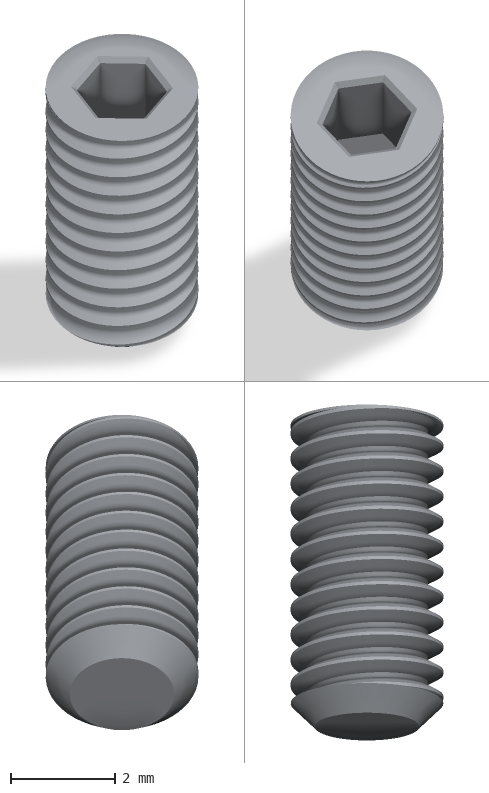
import cadquery as cq
import math

length = 6.0
outer_radius = 1.465
tip_height = 0.46
top_rim_height = 0.05

pitch = length / 12
root_radius = 1.17
crest_width = pitch / 8
flank_slope = math.tan(math.radians(30))
crest_offset = 0.035
overcut = 0.02

socket_flats = 1.5
socket_depth = 2.0
socket_chamfer = 0.095


def make_blank():
    """Cylinder with a conical tip, resting on Z = 0."""
    blank = cq.Workplane("XY").circle(outer_radius).extrude(length)
    return blank.faces("<Z").chamfer(tip_height)


def make_groove():
    """Helical V groove, trimmed to the threaded part of the shank."""
    cutter_radius = outer_radius + overcut
    root_half_width = (pitch - crest_width) / 2 - (outer_radius - root_radius) * flank_slope
    mouth_half_width = (pitch - crest_width) / 2 + overcut * flank_slope
    start_height = crest_offset - pitch / 2
    helix_height = length + 2 * pitch

    helix = cq.Wire.makeHelix(pitch, helix_height, root_radius).translate(cq.Vector(0, 0, start_height))
    profile = cq.Workplane("XZ").polyline([
        (root_radius, start_height - root_half_width),
        (cutter_radius, start_height - mouth_half_width),
        (cutter_radius, start_height + mouth_half_width),
        (root_radius, start_height + root_half_width),
    ]).close()
    groove = profile.sweep(cq.Workplane(obj=helix), isFrenet=True)

    threaded_height = length - top_rim_height - tip_height
    threaded_zone = (
        cq.Workplane("XY")
        .workplane(offset=tip_height)
        .circle(cutter_radius + overcut)
        .extrude(threaded_height)
    )
    return groove.intersect(threaded_zone)


def hexagon(across_flats, height):
    """Hexagon with corners on the X axis, at the given height."""
    across_corners = across_flats / math.cos(math.radians(30))
    return cq.Workplane("XY").workplane(offset=height).polygon(6, across_corners)


def make_socket():
    """Flat-bottomed hexagonal recess with a 45 degree lead-in."""
    recess = hexagon(socket_flats, length - socket_depth).extrude(socket_depth)
    mouth = hexagon(socket_flats + 2 * socket_chamfer, length).extrude(-socket_chamfer, taper=45)
    return recess.union(mouth)


result = make_blank().cut(make_groove()).cut(make_socket())